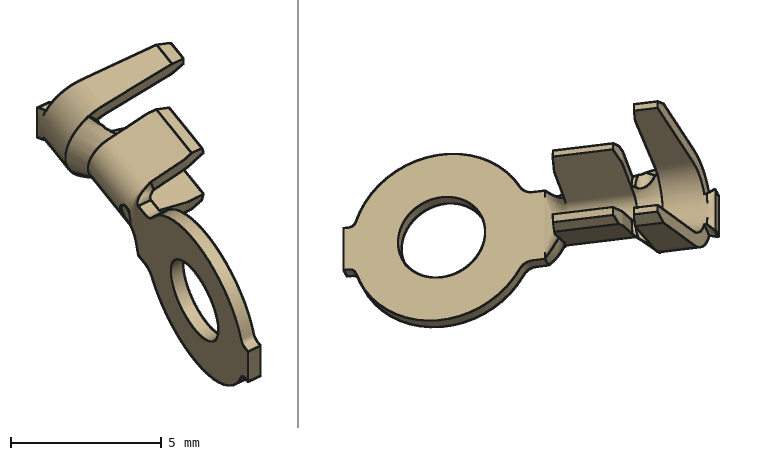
import cadquery as cq
import math

SHEET = 0.5

RING_DIAMETER = 6.22
RING_RADIUS = RING_DIAMETER / 2
HOLE_RADIUS = 1.5
NECK_HALF_WIDTH = 1.28
NECK_FILLET = 0.51
NOSE_HALF_WIDTH = 0.79
NOSE_FILLET = 0.25
PLATE_START_X = -3.56
PLATE_END_X = 3.38

BARREL_START_X = -6.74
BARREL_END_X = -4.38
BARREL_RADIUS = 1.03
BARREL_FLARE = 14.0
BARREL_TOP_Y = 3.16
BARREL_LIP_Y = 3.1
BARREL_LIP_Z = 1.35
BARREL_BEVEL_Y = 2.65
BARREL_TAPER_HEIGHT = 2.59
BARREL_WALL_HEIGHT = 3.34
BARREL_TAPER = 0.14

TAIL_START_X = -9.33
TAIL_CHAMFER = 0.04
CLAW_START_X = -9.06
CLAW_END_X = -7.52
CLAW_BOTTOM_Y = -0.4
CLAW_RADIUS = 1.8
CLAW_FLARE = 9.7
CLAW_TOP_Y = 4.31
CLAW_BEVEL_Y = 3.79
CLAW_LIP_Z = 2.07
CLAW_TIP_START_X = -8.44
CLAW_TIP_END_X = -7.63

CLAW_LINK_FLANGE = 0.33
CLAW_LINK_ANGLE = 50.0
LINK_SCOOP_RADIUS = 0.41
LINK_SCOOP_X = -7.25
LINK_SCOOP_Y = 0.8
FORM_FLANGE = 0.23
FORM_MID_X = -4.04
FORM_MID_RADIUS = 1.78
FORM_MID_ANGLE = 30.0

DIMPLE_RADIUS = 0.33
DIMPLE_DEPTH = 0.06

OVERLAP = 0.13
PICK_MARGIN = 0.04
CUT_SPAN = 7.63


def section_plane(x):
    """Plane across X whose local axes are global Y and Z."""
    return cq.Plane(origin=(x, 0, 0), xDir=(0, 1, 0), normal=(1, 0, 0))


def mirrored(point):
    """Section point reflected in the XY plane."""
    return point[0], -point[1]


def crimp(radius, bottom_y, flare, bevel_y, lip, top_y):
    """Flared U of sheet metal with bevelled tips, wider in X than its final outline."""
    angle = math.radians(flare)
    centre_y = bottom_y + radius

    def wall_start(wall_radius):
        return centre_y - wall_radius * math.sin(angle), wall_radius * math.cos(angle)

    def wall_point(wall_radius, y):
        start_y, start_z = wall_start(wall_radius)
        return y, start_z + (y - start_y) * math.tan(angle)

    inner_radius = radius - SHEET
    outer, inner = wall_start(radius), wall_start(inner_radius)
    bevel = wall_point(radius, bevel_y)
    tip = wall_point(inner_radius, top_y)
    return (
        cq.Workplane(section_plane(TAIL_START_X))
        .moveTo(*tip)
        .lineTo(*lip)
        .lineTo(*bevel)
        .lineTo(*outer)
        .threePointArc((bottom_y, 0), mirrored(outer))
        .lineTo(*mirrored(bevel))
        .lineTo(*mirrored(lip))
        .lineTo(*mirrored(tip))
        .lineTo(*mirrored(inner))
        .threePointArc((bottom_y + SHEET, 0), inner)
        .close()
        .extrude(CUT_SPAN)
    )


def trim_prism(outline):
    return cq.Workplane("XY").polyline(outline).close().extrude(CUT_SPAN, both=True)


def symmetric_face(x, half_outer, half_inner, outer_middle=None, inner_middle=None):
    """Strip outline from points on its +Z half; a middle point bends that face into an arc."""

    def span(outline, middle, point):
        return outline.threePointArc(middle, point) if middle else outline.lineTo(*point)

    outline = cq.Workplane(section_plane(x)).moveTo(*mirrored(half_outer[0]))
    outline = span(outline, outer_middle, half_outer[0])
    for point in half_outer[1:] + half_inner[::-1]:
        outline = outline.lineTo(*point)
    outline = span(outline, inner_middle, mirrored(half_inner[0]))
    for point in half_inner[1:] + half_outer[:0:-1]:
        outline = outline.lineTo(*mirrored(point))
    return outline.close().val()


def arc_section(x, bottom_y, radius, half_angle, flange=0):
    """Curved strip section; a flange continues each end along its tangent."""
    angle = math.radians(half_angle)
    centre_y = bottom_y + radius

    def half_wall(r):
        start = (centre_y - r * math.cos(angle), r * math.sin(angle))
        end = (start[0] + flange * math.sin(angle), start[1] + flange * math.cos(angle))
        return [start, end] if flange else [start]

    inner_y = bottom_y + SHEET
    return symmetric_face(x, half_wall(radius), half_wall(radius - SHEET), (bottom_y, 0), (inner_y, 0))


def flat_section(x, bottom_y, half_width, flange=0):
    """Flat strip section, split where a curved section's flanges would start."""

    def half_wall(y):
        end = (y, half_width)
        return [(y, half_width - flange), end] if flange else [end]

    return symmetric_face(x, half_wall(bottom_y), half_wall(bottom_y + SHEET))


def loft(*sections, ruled=True):
    return cq.Workplane(cq.Solid.makeLoft(list(sections), ruled))


def bar(start_x, end_x, half_width):
    """Flat strip of the plate along X."""
    strip = cq.Workplane("XY").box(end_x - start_x, SHEET, 2 * half_width, centered=(False, False, True))
    return strip.translate((start_x, 0, 0))


def root_edges(side, half_width):
    """Selector for the corners where a bar meets the ring on one side (-1 or 1)."""
    root_x = side * math.sqrt(RING_RADIUS**2 - half_width**2)
    low = (root_x - PICK_MARGIN, 0, -half_width - PICK_MARGIN)
    high = (root_x + PICK_MARGIN, SHEET, half_width + PICK_MARGIN)
    return cq.selectors.BoxSelector(low, high)


def ring_plate():
    """Eyelet with a rounded-in neck and nose."""
    disc = cq.Workplane("XZ").circle(RING_RADIUS).extrude(-SHEET)
    neck = bar(PLATE_START_X, 0, NECK_HALF_WIDTH)
    nose = bar(0, PLATE_END_X, NOSE_HALF_WIDTH)
    plate = disc.union(neck).union(nose)
    plate = plate.edges("|Y").edges(root_edges(-1, NECK_HALF_WIDTH)).fillet(NECK_FILLET)
    plate = plate.edges("|Y").edges(root_edges(1, NOSE_HALF_WIDTH)).fillet(NOSE_FILLET)
    hole = cq.Workplane("XZ").circle(HOLE_RADIUS).extrude(-SHEET)
    return plate.cut(hole)


def barrel():
    """Crimp barrel whose end edges taper square to each flared wall."""
    outline = [
        (BARREL_START_X, -BARREL_RADIUS),
        (BARREL_END_X, -BARREL_RADIUS),
        (BARREL_END_X, BARREL_TAPER_HEIGHT),
        (BARREL_END_X - BARREL_TAPER, BARREL_WALL_HEIGHT),
        (BARREL_START_X + BARREL_TAPER, BARREL_WALL_HEIGHT),
        (BARREL_START_X, BARREL_TAPER_HEIGHT),
    ]
    lip = (BARREL_LIP_Y, BARREL_LIP_Z)
    folded = crimp(BARREL_RADIUS, 0, BARREL_FLARE, BARREL_BEVEL_Y, lip, BARREL_TOP_Y)
    trim = trim_prism(outline)
    for tilt in (BARREL_FLARE, -BARREL_FLARE):
        folded = folded.intersect(trim.rotate((0, 0, 0), (1, 0, 0), tilt))
    return folded


def claws():
    """Insulation claws, sloped on the -X edge and tapered at the tip on the other."""
    outline = [
        (CLAW_START_X, CLAW_BOTTOM_Y),
        (CLAW_END_X, CLAW_BOTTOM_Y),
        (CLAW_END_X, CLAW_BEVEL_Y),
        (CLAW_TIP_END_X, CLAW_TOP_Y),
        (CLAW_TIP_START_X, CLAW_TOP_Y),
    ]
    lip = (CLAW_TOP_Y, CLAW_LIP_Z)
    folded = crimp(CLAW_RADIUS, CLAW_BOTTOM_Y, CLAW_FLARE, CLAW_BEVEL_Y, lip, CLAW_TOP_Y)
    return folded.intersect(trim_prism(outline))


def tail():
    """Cut-off stub that turns from flat to the claws' curve and runs on into them."""
    half_angle = math.degrees(math.asin(NOSE_HALF_WIDTH / CLAW_RADIUS))
    stub = loft(
        flat_section(TAIL_START_X, CLAW_BOTTOM_Y, NOSE_HALF_WIDTH),
        arc_section(CLAW_START_X, CLAW_BOTTOM_Y, CLAW_RADIUS, half_angle),
        arc_section(CLAW_START_X + OVERLAP, CLAW_BOTTOM_Y, CLAW_RADIUS, half_angle),
    )
    return stub.faces("<X").edges("|Y").chamfer(TAIL_CHAMFER)


def claw_link():
    """Tapered trough from claws to barrel, scooped along its upper edges."""
    trough = loft(
        arc_section(CLAW_END_X, CLAW_BOTTOM_Y, CLAW_RADIUS, CLAW_LINK_ANGLE, CLAW_LINK_FLANGE),
        arc_section(BARREL_START_X, 0, BARREL_RADIUS, 90 - BARREL_FLARE, CLAW_LINK_FLANGE),
    )
    scoop = (
        cq.Workplane("XY")
        .center(LINK_SCOOP_X, LINK_SCOOP_Y + LINK_SCOOP_RADIUS)
        .circle(LINK_SCOOP_RADIUS)
        .extrude(CUT_SPAN, both=True)
    )
    return trough.cut(scoop)


def plate_link():
    """Stretch that unrolls from the barrel's curve to the flat plate."""
    return loft(
        arc_section(BARREL_END_X, 0, BARREL_RADIUS, 90 - BARREL_FLARE, FORM_FLANGE),
        arc_section(FORM_MID_X, 0, FORM_MID_RADIUS, FORM_MID_ANGLE, FORM_FLANGE),
        flat_section(PLATE_START_X, 0, NECK_HALF_WIDTH, FORM_FLANGE),
        ruled=False,
    )


def dimple():
    return cq.Workplane("XZ").center(BARREL_END_X, 0).circle(DIMPLE_RADIUS).extrude(-DIMPLE_DEPTH)


terminal = ring_plate()
for stretch in (plate_link(), barrel(), claw_link(), claws(), tail()):
    terminal = terminal.union(stretch)

result = terminal.cut(dimple())